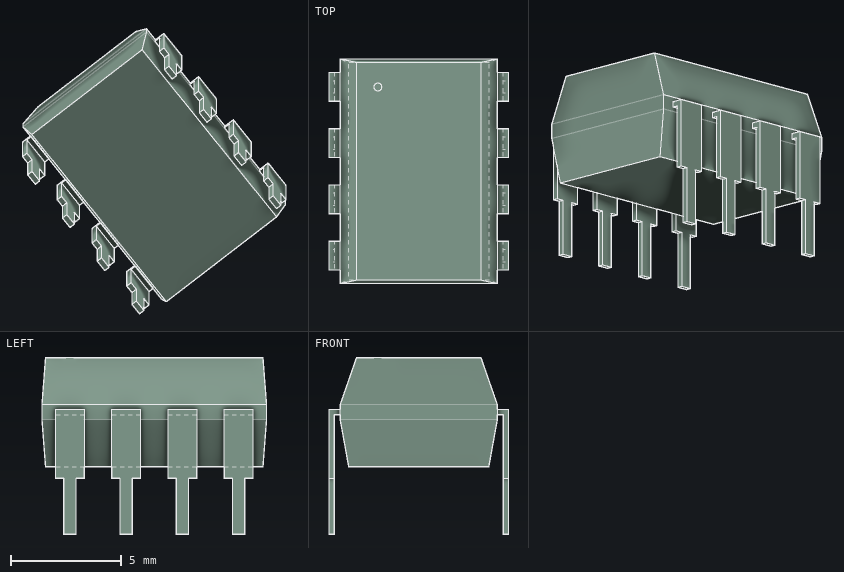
import cadquery as cq

housing_length = 10.16
housing_width = 7.11
lead_span = 8.13

band_height = 0.67
half_height = 2.13
upper_side_inset = 0.74
lower_side_inset = 0.39
end_inset = 0.16

leads_per_side = 4
lead_pitch = 2.54
lead_thickness = 0.25
shoulder_width = 1.31
shoulder_height = 3.12
tip_width = 0.56
tip_length = 2.53

marker_diameter = 0.36
marker_height = 0.01
marker_x = -1.85

band_top = band_height / 2
band_bottom = -band_height / 2
housing_top = band_top + half_height
lead_top = lead_thickness / 2
shoulder_bottom = lead_top - shoulder_height

first_lead_y = lead_pitch * (leads_per_side - 1) / 2


def make_tapered_half(band_z, height, side_inset):
    """Loft from the band outline at band_z to a smaller rectangle; a negative height goes down."""
    return (
        cq.Workplane("XY")
        .workplane(offset=band_z)
        .rect(housing_width, housing_length)
        .workplane(offset=height)
        .rect(housing_width - 2 * side_inset, housing_length - 2 * end_inset)
        .loft(ruled=True)
    )


def make_housing():
    band = cq.Workplane("XY").box(housing_width, housing_length, band_height)
    upper_half = make_tapered_half(band_top, half_height, upper_side_inset)
    lower_half = make_tapered_half(band_bottom, -half_height, lower_side_inset)
    return band.union(upper_half).union(lower_half)


def make_lead(side, y):
    """Bent lead on one side of the housing: side is -1 for -X and +1 for +X."""
    outer_x = side * lead_span / 2
    inner_x = side * (lead_span / 2 - lead_thickness)
    housing_x = side * housing_width / 2

    shoulder = (
        cq.Workplane("XZ", origin=(0, y, 0))
        .moveTo(housing_x, lead_top)
        .lineTo(outer_x, lead_top)
        .lineTo(outer_x, shoulder_bottom)
        .lineTo(inner_x, shoulder_bottom)
        .lineTo(inner_x, lead_top - lead_thickness)
        .lineTo(housing_x, lead_top - lead_thickness)
        .close()
        .extrude(shoulder_width / 2, both=True)
    )

    tip = (
        cq.Workplane("XY", origin=((outer_x + inner_x) / 2, y, shoulder_bottom))
        .rect(lead_thickness, tip_width)
        .extrude(-tip_length)
    )
    return shoulder.union(tip)


def make_marker():
    return (
        cq.Workplane("XY", origin=(marker_x, first_lead_y, housing_top))
        .circle(marker_diameter / 2)
        .extrude(marker_height)
    )


housing = make_housing()
marker = make_marker()
leads = [
    make_lead(side, first_lead_y - index * lead_pitch)
    for side in (-1, 1)
    for index in range(leads_per_side)
]

result = cq.Compound.makeCompound([housing.val(), marker.val(), *[lead.val() for lead in leads]])